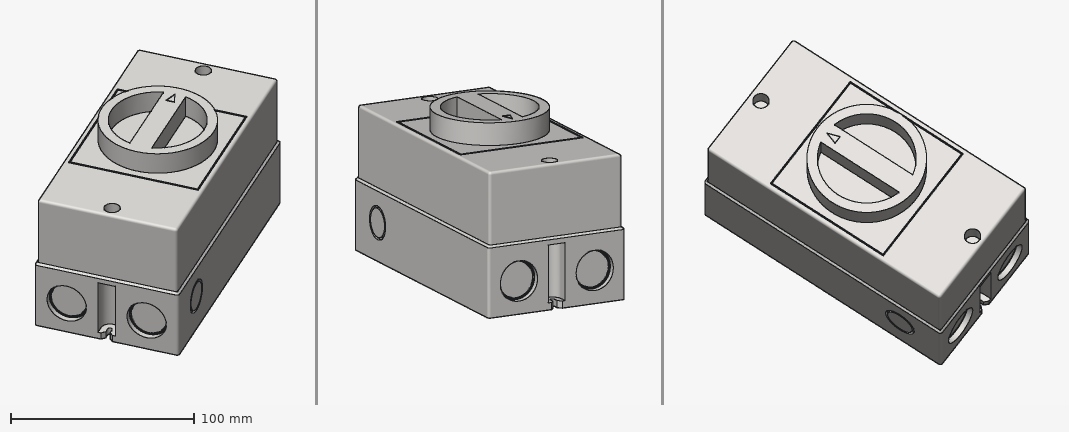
import cadquery as cq

BASE_WIDTH = 84.0
BASE_LENGTH = 158.5
SHOULDER = 1.3
EDGE_RADIUS = 1.6

COVER_BOTTOM = 41.0
COVER_TOP = 82.1
KNOB_TOP = 95.0

COVER_WIDTH = BASE_WIDTH - 2 * SHOULDER
COVER_LENGTH = BASE_LENGTH - 2 * SHOULDER
COVER_HEIGHT = COVER_TOP - COVER_BOTTOM
SCREW_HOLE_DIAMETER = 8.9
SCREW_HOLE_DEPTH = 9.5
SCREW_HOLE_Y = 70.7

LABEL_SIZE = 75.5
LABEL_LINE = 0.6
ENGRAVING_DEPTH = 0.3

KNOB_HEIGHT = KNOB_TOP - COVER_TOP
KNOB_RADIUS = 32.7
KNOB_RIM_INNER_RADIUS = 27.0
GRIP_WIDTH = 12.8
ARROW_TIP_Y = 26.6
ARROW_BASE_Y = 19.5
ARROW_HALF_WIDTH = 2.4

SLOT_RADIUS = 5.0
SLOT_BOTTOM = 4.1
SLOT_TOP = 37.0
SLOT_CENTRE_DEPTH = 5.0
NECK_RADIUS = 1.3
MOUTH_HALF_WIDTH = 3.3

END_KNOCKOUT_X = 23.3
END_KNOCKOUT_Z = 18.9
END_KNOCKOUT_RADIUS = 11.4
END_KNOCKOUT_DEPTH = 3.5
END_GROOVE_OUTER_RADIUS = 11.0
END_GROOVE_INNER_RADIUS = 10.3

SIDE_KNOCKOUT_Y = -51.8
SIDE_KNOCKOUT_Z = 21.9
SIDE_KNOCKOUT_RADIUS = 9.5
SIDE_GROOVE_WIDTH = 1.3
GROOVE_DEPTH = 1.6


def make_base():
    block = cq.Workplane("XY").box(BASE_WIDTH, BASE_LENGTH, COVER_BOTTOM, centered=(True, True, False))
    return block.edges("|Z").fillet(EDGE_RADIUS).faces(">Z").edges().chamfer(SHOULDER)


def make_cover():
    block = (
        cq.Workplane("XY", origin=(0, 0, COVER_BOTTOM))
        .box(COVER_WIDTH, COVER_LENGTH, COVER_HEIGHT, centered=(True, True, False))
        .edges("|Z or >Z")
        .fillet(EDGE_RADIUS)
    )
    screw_holes = (
        cq.Workplane("XY", origin=(0, 0, COVER_TOP))
        .pushPoints([(0, -SCREW_HOLE_Y), (0, SCREW_HOLE_Y)])
        .circle(SCREW_HOLE_DIAMETER / 2)
        .extrude(-SCREW_HOLE_DEPTH)
    )
    label_inner = LABEL_SIZE - 2 * LABEL_LINE
    label_frame = (
        cq.Workplane("XY", origin=(0, 0, COVER_TOP))
        .rect(LABEL_SIZE, LABEL_SIZE)
        .rect(label_inner, label_inner)
        .extrude(-ENGRAVING_DEPTH)
    )
    return block.cut(screw_holes).cut(label_frame)


def make_knob():
    base_plane = cq.Workplane("XY", origin=(0, 0, COVER_TOP))
    rim = base_plane.circle(KNOB_RADIUS).circle(KNOB_RIM_INNER_RADIUS).extrude(KNOB_HEIGHT)
    grip_length = KNOB_RADIUS + KNOB_RIM_INNER_RADIUS
    grip = base_plane.rect(GRIP_WIDTH, grip_length).extrude(KNOB_HEIGHT)
    arrow = (
        cq.Workplane("XY", origin=(0, 0, KNOB_TOP))
        .polyline([
            (-ARROW_HALF_WIDTH, ARROW_BASE_Y),
            (ARROW_HALF_WIDTH, ARROW_BASE_Y),
            (0, ARROW_TIP_Y),
        ])
        .close()
        .extrude(-ENGRAVING_DEPTH)
    )
    return rim.union(grip).cut(arrow)


def make_mounting_slot():
    """Cutter for the screw slot in the -Y end wall."""
    end_y = -BASE_LENGTH / 2
    axis_y = end_y + SLOT_CENTRE_DEPTH
    pocket = (
        cq.Workplane("XY", origin=(0, 0, SLOT_BOTTOM))
        .moveTo(-SLOT_RADIUS, end_y)
        .lineTo(SLOT_RADIUS, end_y)
        .lineTo(SLOT_RADIUS, axis_y)
        .threePointArc((0, axis_y + SLOT_RADIUS), (-SLOT_RADIUS, axis_y))
        .close()
        .extrude(SLOT_TOP - SLOT_BOTTOM)
    )
    flare_y = end_y + MOUTH_HALF_WIDTH - NECK_RADIUS
    notch = (
        cq.Workplane("XY")
        .moveTo(-MOUTH_HALF_WIDTH, end_y)
        .lineTo(MOUTH_HALF_WIDTH, end_y)
        .lineTo(NECK_RADIUS, flare_y)
        .lineTo(NECK_RADIUS, axis_y)
        .threePointArc((0, axis_y + NECK_RADIUS), (-NECK_RADIUS, axis_y))
        .lineTo(-NECK_RADIUS, flare_y)
        .close()
        .extrude(SLOT_BOTTOM)
    )
    return pocket.union(notch)


def make_end_knockouts():
    """Cutter for the pair of knockouts in the -Y end wall."""
    centres = [(-END_KNOCKOUT_X, END_KNOCKOUT_Z), (END_KNOCKOUT_X, END_KNOCKOUT_Z)]
    wall = cq.Workplane("XZ", origin=(0, -BASE_LENGTH / 2, 0)).pushPoints(centres)
    recess = wall.circle(END_KNOCKOUT_RADIUS).extrude(-END_KNOCKOUT_DEPTH)
    groove = (
        cq.Workplane("XZ", origin=(0, END_KNOCKOUT_DEPTH - BASE_LENGTH / 2, 0))
        .pushPoints(centres)
        .circle(END_GROOVE_OUTER_RADIUS)
        .circle(END_GROOVE_INNER_RADIUS)
        .extrude(-GROOVE_DEPTH)
    )
    return recess.union(groove)


def make_side_knockout():
    """Cutter for the knockout groove in the -X side wall."""
    return (
        cq.Workplane("YZ", origin=(-BASE_WIDTH / 2, 0, 0))
        .center(SIDE_KNOCKOUT_Y, SIDE_KNOCKOUT_Z)
        .circle(SIDE_KNOCKOUT_RADIUS)
        .circle(SIDE_KNOCKOUT_RADIUS - SIDE_GROOVE_WIDTH)
        .extrude(GROOVE_DEPTH)
    )


base = make_base()
for end_cutter in (make_mounting_slot(), make_end_knockouts()):
    base = base.cut(end_cutter).cut(end_cutter.mirror("XZ"))
side_cutter = make_side_knockout()
base = base.cut(side_cutter).cut(side_cutter.mirror("YZ"))

result = base.union(make_cover()).union(make_knob())